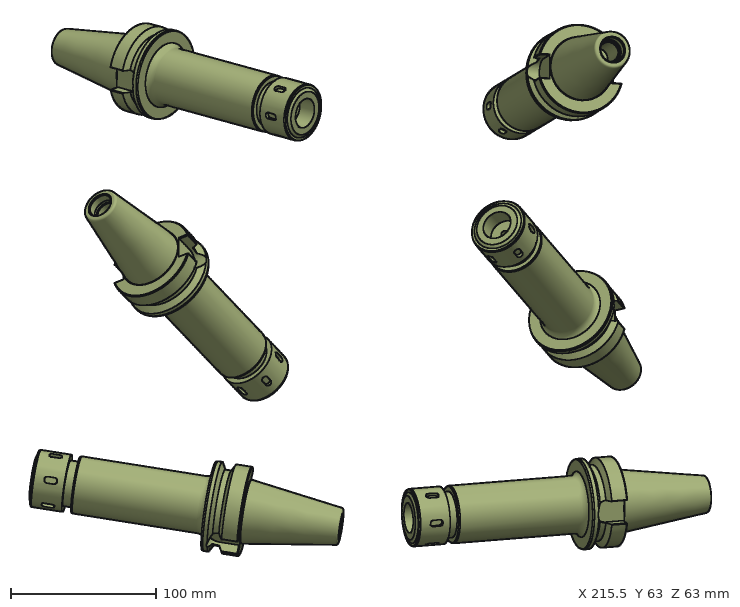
import cadquery as cq
import math

total_length = 215.5

taper_slope = 7 / 24 / 2
shank_length = 65.5
shank_land_end = 66.1
shank_base_radius = 22.5
relief_radius = 22.0
nose_radius = shank_base_radius - shank_length * taper_slope
nose_fillet = 1.7

flange_start = 66.5
flange_end = 92.2
flange_radius = 31.5
flange_front_radius = 31.2
flange_front_chamfer = 0.6
flange_back_chamfer = 0.5
flange_back_chamfer_length = 1.3
groove_start = 78.0
groove_end = 87.9
groove_radius = 26.5
groove_side_slope = math.tan(math.radians(30))
groove_front_length = (flange_front_radius - groove_radius) * groove_side_slope
groove_back_length = (flange_radius - groove_radius) * groove_side_slope

slot_width = 16.2
slot_floor = 22.6
slot_tip = 88.3
slot_chamfer = 0.6

body_radius = 20.0
body_end = 185.5
rim_chamfer = 0.5
rim_chamfer_length = 1.0
root_fillet = 6.2
root_fillet_end = 97.4
neck_diameter = 32.0
neck_end = 202.5

countersink_diameter = 18.5
counterbore_diameter = 17.0
countersink_depth = (countersink_diameter - counterbore_diameter) / 2
counterbore_depth = 6.7
seat_diameter = 16.0
seat_depth = 1.5
thread_diameter = 13.8
thread_depth = 30.2
coolant_diameter = 5.4

nut_start = 191.7
nut_radius = 20.0
nut_shoulder = 214.0
nut_lip_base_radius = 17.7
nut_lip_end_radius = 15.3
nut_opening_diameter = 20.7
wrench_slot_count = 6
wrench_slot_length = 9.0
wrench_slot_width = 4.5
wrench_slot_depth = 2.5
wrench_slot_center = 201.5
first_wrench_slot_angle = 90.0


def bore(start, diameter, length):
    """Cylinder along X, used to cut a hole."""
    return cq.Workplane("YZ", origin=(start, 0, 0)).circle(diameter / 2).extrude(length)


def cone_bore(start, start_diameter, end_diameter, length):
    """Cone along X, used to cut a tapered stretch of a hole."""
    cone = cq.Solid.makeCone(
        start_diameter / 2,
        end_diameter / 2,
        length,
        pnt=cq.Vector(start, 0, 0),
        dir=cq.Vector(1, 0, 0),
    )
    return cq.Workplane(cone)


def root_rise(run):
    """Height of the root fillet above the body at a distance before its end."""
    return root_fillet - math.sqrt(root_fillet**2 - run**2)


def make_turned_holder():
    """Revolved outer shape of the holder, before slots and bores."""
    root_run = root_fillet_end - flange_end
    middle_run = root_run / 2
    profile = (
        cq.Workplane("XY")
        .moveTo(0, 0)
        .lineTo(0, nose_radius)
        .lineTo(shank_length, shank_base_radius)
        .lineTo(shank_land_end, shank_base_radius)
        .lineTo(shank_land_end, relief_radius)
        .lineTo(flange_start, relief_radius)
        .lineTo(flange_start, flange_front_radius - flange_front_chamfer)
        .lineTo(flange_start + flange_front_chamfer, flange_front_radius)
        .lineTo(groove_start, flange_front_radius)
        .lineTo(groove_start + groove_front_length, groove_radius)
        .lineTo(groove_end - groove_back_length, groove_radius)
        .lineTo(groove_end, flange_radius)
        .lineTo(flange_end - flange_back_chamfer_length, flange_radius)
        .lineTo(flange_end, flange_radius - flange_back_chamfer)
        .lineTo(flange_end, body_radius + root_rise(root_run))
        .threePointArc(
            (root_fillet_end - middle_run, body_radius + root_rise(middle_run)),
            (root_fillet_end, body_radius),
        )
        .lineTo(body_end - rim_chamfer_length, body_radius)
        .lineTo(body_end, body_radius - rim_chamfer)
        .lineTo(body_end, neck_diameter / 2)
        .lineTo(neck_end, neck_diameter / 2)
        .lineTo(neck_end, 0)
        .close()
    )
    turned = profile.revolve(360, (0, 0, 0), (1, 0, 0))
    return turned.faces("<X").edges().fillet(nose_fillet)


def make_drive_slot(side):
    """Cutter for one round-ended drive slot with a chamfered mouth; side is -1 or +1 along Y."""
    half_width = slot_width / 2
    straight_end = slot_tip - half_width
    depth = flange_radius - slot_floor
    floor_plane = cq.Plane(origin=(0, side * slot_floor, 0), xDir=(1, 0, 0), normal=(0, side, 0))
    slot = (
        cq.Workplane(floor_plane)
        .moveTo(flange_start, -half_width)
        .lineTo(straight_end, -half_width)
        .threePointArc((slot_tip, 0), (straight_end, half_width))
        .lineTo(flange_start, half_width)
        .close()
        .extrude(depth)
    )
    mouth_half_width = half_width + slot_chamfer
    mouth = (
        cq.Workplane(floor_plane)
        .moveTo(flange_start, -mouth_half_width)
        .lineTo(flange_start + slot_chamfer, -half_width)
        .lineTo(flange_start + slot_chamfer, half_width)
        .lineTo(flange_start, mouth_half_width)
        .close()
        .extrude(depth)
    )
    rim_edge = math.sqrt(flange_front_radius**2 - half_width**2)
    break_start = rim_edge - slot_chamfer
    break_half_width = half_width + flange_radius - break_start
    rim_break_profile = [
        (side * break_start, -half_width),
        (side * break_start, half_width),
        (side * flange_radius, break_half_width),
        (side * flange_radius, -break_half_width),
    ]
    rim_break = (
        cq.Workplane("YZ", origin=(flange_start, 0, 0))
        .polyline(rim_break_profile)
        .close()
        .extrude(groove_start - flange_start)
    )
    return slot.union(mouth).union(rim_break)


def make_holder():
    """Taper shank, flange, body and neck with the bores along the axis."""
    holder = make_turned_holder()
    for side in (-1, 1):
        holder = holder.cut(make_drive_slot(side))
    countersink = cone_bore(0, countersink_diameter, counterbore_diameter, countersink_depth)
    seat = cone_bore(counterbore_depth, counterbore_diameter, seat_diameter, seat_depth)
    return (
        holder.cut(countersink)
        .cut(bore(0, counterbore_diameter, counterbore_depth))
        .cut(seat)
        .cut(bore(0, thread_diameter, thread_depth))
        .cut(bore(0, coolant_diameter, neck_end))
    )


def make_wrench_slot(angle):
    """Cutter for one rounded slot in the rim of the nut, turned about X by an angle in degrees."""
    slot = (
        cq.Workplane("XY", origin=(wrench_slot_center, 0, nut_radius - wrench_slot_depth))
        .slot2D(wrench_slot_length, wrench_slot_width)
        .extrude(2 * wrench_slot_depth)
    )
    return slot.rotate((0, 0, 0), (1, 0, 0), angle)


def make_nut():
    """Collet nut that fits over the neck of the holder."""
    nut = (
        cq.Workplane("XY")
        .moveTo(nut_start, 0)
        .lineTo(nut_start, nut_radius)
        .lineTo(nut_shoulder - rim_chamfer_length, nut_radius)
        .lineTo(nut_shoulder, nut_radius - rim_chamfer)
        .lineTo(nut_shoulder, nut_lip_base_radius)
        .lineTo(total_length, nut_lip_end_radius)
        .lineTo(total_length, 0)
        .close()
        .revolve(360, (0, 0, 0), (1, 0, 0))
    )
    nut = nut.cut(bore(nut_start, neck_diameter, neck_end - nut_start))
    nut = nut.cut(bore(nut_start, nut_opening_diameter, total_length - nut_start))
    for index in range(wrench_slot_count):
        angle = first_wrench_slot_angle + index * 360 / wrench_slot_count
        nut = nut.cut(make_wrench_slot(angle))
    return nut


holder = make_holder()
nut = make_nut()

result = cq.Compound.makeCompound([holder.val(), nut.val()])